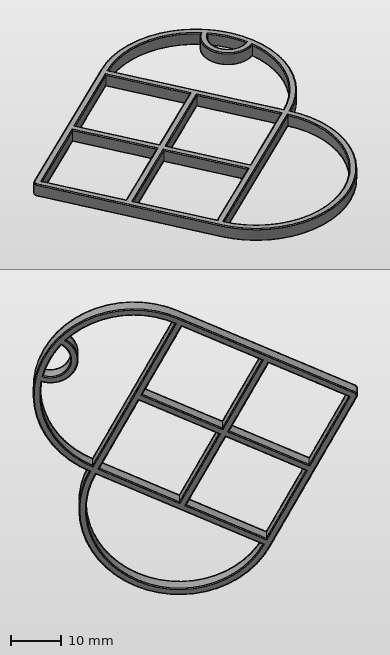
import cadquery as cq
import math

overall_width = 68.1
thickness = 3.0
wall = 1.5
tip_radius = 0.9
edge_chamfer = 0.2
loop_outer_radius = 5.5

lobe_radius = overall_width / 2 / (1 + 1 / math.sqrt(2))
lobe_offset = lobe_radius / math.sqrt(2)
side = 2 * lobe_radius
cell = (side - 3 * wall) / 2
cell_pitch = cell + wall
loop_offset = lobe_offset + (lobe_radius - wall) / math.sqrt(2)


def disc(x, y, radius, end_step):
    """Upright cylinder whose radius changes by end_step over the bevel height at both ends."""
    profile = [
        (0, 0),
        (radius + end_step, 0),
        (radius, edge_chamfer),
        (radius, thickness - edge_chamfer),
        (radius + end_step, thickness),
        (0, thickness),
    ]
    return cq.Workplane("XZ").polyline(profile).close().revolve().translate((x, y, 0))


def flared_disc(x, y, radius):
    """Cutter that leaves a round opening with bevelled rims."""
    return disc(x, y, radius, edge_chamfer)


def bevelled_disc(x, y, radius):
    """Round body with bevelled rims."""
    return disc(x, y, radius, -edge_chamfer)


def bevelled_square():
    """The square part of the heart as a solid block with bevelled edges."""
    block = cq.Workplane("XY").rect(side, side).extrude(thickness)
    return block.faces("<Z or >Z").edges().chamfer(edge_chamfer).rotate((0, 0, 0), (0, 0, 1), 45)


def heart_blank():
    """Solid heart with a rounded tip."""
    half_diagonal = 2 * lobe_offset
    lobe_reach = lobe_offset + lobe_radius / math.sqrt(2)
    outline = (
        cq.Workplane("XY")
        .moveTo(0, -half_diagonal)
        .lineTo(half_diagonal, 0)
        .threePointArc((lobe_reach, lobe_reach), (0, half_diagonal))
        .threePointArc((-lobe_reach, lobe_reach), (-half_diagonal, 0))
        .close()
    )
    return outline.extrude(thickness).edges("|Z and <Y").fillet(tip_radius)


def cell_openings():
    """Two by two grid of square openings, turned with the square."""
    return (
        cq.Workplane("XY")
        .rarray(cell_pitch, cell_pitch, 2, 2)
        .rect(cell, cell)
        .extrude(thickness)
        .rotate((0, 0, 0), (0, 0, 1), 45)
    )


def lobe_opening(x):
    """Half-round opening above one upper side of the square."""
    return flared_disc(x, lobe_offset, lobe_radius - wall).cut(bevelled_square())


def hanging_loop_body():
    """Disc that carries the hanging loop, centred on the inner edge of the left lobe's rim."""
    return bevelled_disc(-loop_offset, loop_offset, loop_outer_radius)


def hanging_loop_hole():
    """Hole through the loop, bounded on the outside by the rim of the left lobe."""
    hole = flared_disc(-loop_offset, loop_offset, loop_outer_radius - wall)
    return hole.intersect(flared_disc(-lobe_offset, lobe_offset, lobe_radius - wall))


grid_plate = heart_blank().cut(cell_openings()).faces("<Z or >Z").edges().chamfer(edge_chamfer)
left_opening = lobe_opening(-lobe_offset).cut(hanging_loop_body())
right_opening = lobe_opening(lobe_offset)
result = grid_plate.cut(left_opening).cut(right_opening).cut(hanging_loop_hole())